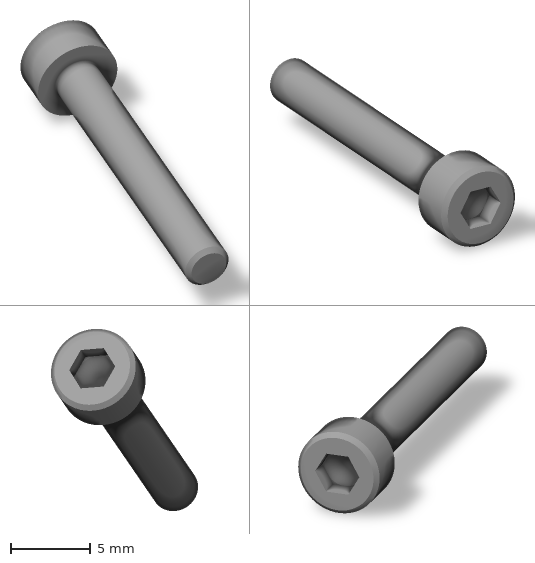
import cadquery as cq
import math

head_diameter = 5.5
head_height = 3.0
head_chamfer = 0.3

shank_diameter = 3.0
shank_length = 20.0
tip_chamfer = 0.3
neck_fillet = 0.1

socket_across_flats = 2.58
socket_depth = 1.3
socket_sides = 6
socket_cone_angle = 120.0

head_face_x = -head_height
socket_floor_x = head_face_x + socket_depth


def make_head():
    """Cylindrical head with a chamfered outer rim."""
    head = cq.Workplane("YZ", origin=(head_face_x, 0, 0)).circle(head_diameter / 2).extrude(head_height)
    return head.faces("<X").chamfer(head_chamfer)


def make_shank():
    """Plain cylindrical shank with a chamfered tip."""
    shank = cq.Workplane("YZ").circle(shank_diameter / 2).extrude(shank_length)
    return shank.faces(">X").chamfer(tip_chamfer)


def fillet_neck(body):
    """Round the inner edge where the shank meets the underside of the head."""
    half_gap = neck_fillet / 2
    neck_radius = shank_diameter / 2 + half_gap
    neck_box = cq.selectors.BoxSelector(
        (-half_gap, -neck_radius, -neck_radius),
        (half_gap, neck_radius, neck_radius),
        boundingbox=True,
    )
    return body.edges(neck_box).fillet(neck_fillet)


def make_socket():
    """Hexagonal recess with two corners along Y, ending in a conical bottom."""
    across_corners = socket_across_flats / math.cos(math.pi / socket_sides)
    hexagon = (
        cq.Workplane("YZ", origin=(head_face_x, 0, 0))
        .polygon(socket_sides, across_corners)
        .extrude(socket_depth)
    )
    cone_radius = socket_across_flats / 2
    cone_height = cone_radius / math.tan(math.radians(socket_cone_angle / 2))
    cone_base = cq.Vector(socket_floor_x, 0, 0)
    cone = cq.Solid.makeCone(cone_radius, 0, cone_height, cone_base, cq.Vector(1, 0, 0))
    return hexagon.union(cq.Workplane(cone))


body = fillet_neck(make_head().union(make_shank()))
result = body.cut(make_socket())